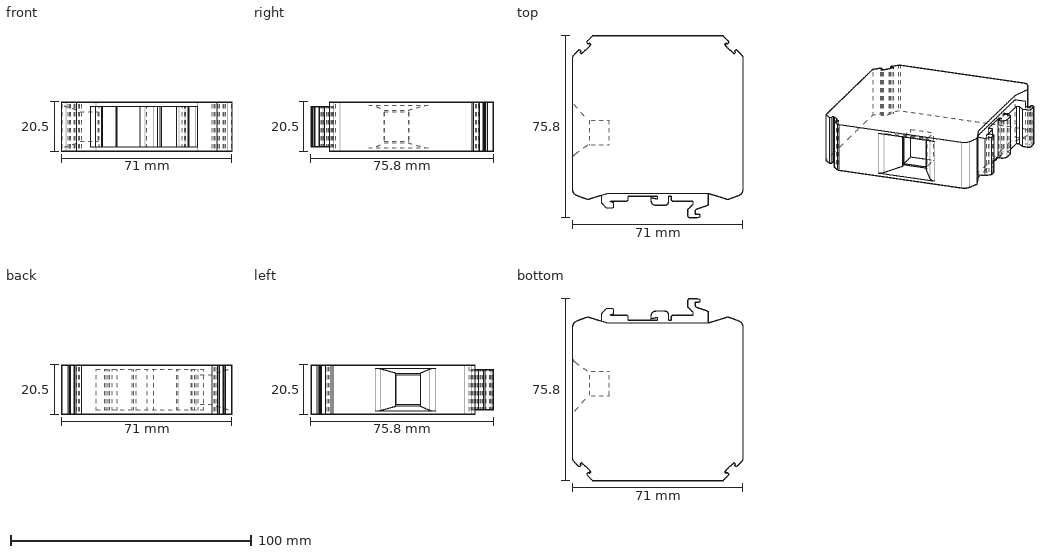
import cadquery as cq
import math

WIDTH = 71.0
LENGTH = 75.8
HEIGHT = 20.5
HALF_WIDTH = WIDTH / 2
TOP_Y = 37.9
CORNER_CUT_X = 27.05
CORNER_CHAMFER_X = 0.3
CORNER_CHAMFER_Y = 0.7
SIDE_TOP_Y = 28.9
LOWER_CORNER_Y = -28.0
LOWER_CORNER_RADIUS = 2.95
SHOULDER_X = 29.2
SHOULDER_Y = -30.3
BASE_X = 21.1
BASE_Y = -27.8

SLOT_CENTER_X = 29.8
SLOT_CENTER_Y = 32.3
SLOT_MOUTH_WIDTH = 4.2
FLOOR_RECESS = 0.19
FLOOR_RECESS_END = 0.7
UNDERCUT_WIDTH = 5.4
UNDERCUT_HEIGHT = 0.7
LIP_TOP = (CORNER_CUT_X + TOP_Y - SLOT_CENTER_X - SLOT_CENTER_Y) / math.sqrt(2)
LIP_RADIUS = 0.57
SLOT_CUTTER_RISE = 0.75

FOOT_HEIGHT = 16.75
FOOT_LEFT_X = -23.5
FOOT_ROOT_Y = BASE_Y + 1.5
GAP_Y = -28.95
RAIL_SEAT_Y = -31.0
FOOT_BOTTOM_Y = TOP_Y - LENGTH
SEAT_BEVEL = 0.5
LEFT_SEAT_END_X = -12.35
RIGHT_SEAT_START_X = 5.5
HOOK_BEVEL_TOP_Y = -31.6
HOOK_BOTTOM_Y = -33.8
HOOK_BOTTOM_LEFT_X = -21.4
HOOK_TIP_X = -18.35
HOOK_TIP_TOP_Y = -31.45
HOOK_TIP_BEVEL = 0.45
HOOK_UNDERCUT_X = -19.8
LATCH_LEFT_X = -2.9
LATCH_RIGHT_X = 4.5
LATCH_BOTTOM_Y = -32.7
LATCH_LEFT_RADIUS = 2.1
LATCH_RIGHT_RADIUS = 1.6
LATCH_SHELF_END_X = -0.15
LATCH_SHELF_END_Y = -30.0
LATCH_SHELF_TIP_Y = -29.5
SPRING_NECK_X = 14.55
SPRING_NECK_Y = -32.3
SPRING_LEFT_X = 12.4
SPRING_LEFT_RADIUS = 1.0
SPRING_SLOPE_X = 15.9
SPRING_SLOPE_RISE = 0.15
SPRING_TIP_X = 17.6
SPRING_TIP_TOP_Y = -36.3
SPRING_TIP_BEVEL_X = 0.5
SPRING_TIP_BEVEL_Y = 0.4
SPRING_SLOT_X = 15.6
SPRING_SLOT_TOP_Y = -34.7
SPRING_SLOT_BEVEL_X = 0.45
SPRING_SLOT_BEVEL_Y = 0.4
SPRING_BROW_X = 20.3
SPRING_BROW_Y = -32.9
FOOT_RIGHT_BOTTOM_Y = -32.4

FUNNEL_MOUTH_TOP_Y = 10.0
FUNNEL_MOUTH_BOTTOM_Y = -12.2
FUNNEL_LIP_RADIUS = 3.2
FUNNEL_TOP_Y = 2.8
FUNNEL_BOTTOM_Y = -7.65
FUNNEL_TAPER_DEPTH = 6.3
FUNNEL_DEPTH = 7.2
FUNNEL_MOUTH_HEIGHT = 17.8
FUNNEL_END_HEIGHT = 13.3
PASSAGE_STEP_Y = 0.15
PASSAGE_HEIGHT = 12.3
PASSAGE_END_DEPTH = 15.15


def upright(outline, height):
    """Extrude a closed XY outline to equal heights above and below Z = 0."""
    return outline.extrude(height / 2, both=True)


def housing():
    right_side = [
        (BASE_X, BASE_Y),
        (SHOULDER_X, SHOULDER_Y),
        (HALF_WIDTH, LOWER_CORNER_Y),
        (HALF_WIDTH, SIDE_TOP_Y),
        (HALF_WIDTH - CORNER_CHAMFER_X, SIDE_TOP_Y + CORNER_CHAMFER_Y),
        (CORNER_CUT_X, TOP_Y),
    ]
    left_side = [(-x, y) for x, y in reversed(right_side)]
    plate = upright(cq.Workplane("XY").polyline(right_side + left_side).close(), HEIGHT)
    for x in (-HALF_WIDTH, HALF_WIDTH):
        corner = cq.selectors.NearestToPointSelector((x, LOWER_CORNER_Y, 0))
        plate = plate.edges("|Z").edges(corner).fillet(LOWER_CORNER_RADIUS)
    return plate


def corner_slot():
    """Slot cutter for the +X corner, built pointing along +Y and then turned into place."""
    half_mouth = SLOT_MOUTH_WIDTH / 2
    half_undercut = UNDERCUT_WIDTH / 2
    lip_side_top = LIP_TOP - LIP_RADIUS
    lip_side_bottom = UNDERCUT_HEIGHT + LIP_RADIUS
    outer_x = half_mouth + LIP_RADIUS
    cutter = upright(
        cq.Workplane("XY")
        .moveTo(-half_mouth, -FLOOR_RECESS)
        .lineTo(FLOOR_RECESS_END, -FLOOR_RECESS)
        .lineTo(FLOOR_RECESS_END, 0)
        .lineTo(half_undercut, 0)
        .lineTo(half_undercut, UNDERCUT_HEIGHT)
        .lineTo(outer_x, UNDERCUT_HEIGHT)
        .radiusArc((half_mouth, lip_side_bottom), LIP_RADIUS)
        .lineTo(half_mouth, lip_side_top)
        .radiusArc((outer_x, LIP_TOP), LIP_RADIUS)
        .lineTo(outer_x, LIP_TOP + SLOT_CUTTER_RISE)
        .lineTo(-outer_x, LIP_TOP + SLOT_CUTTER_RISE)
        .lineTo(-outer_x, LIP_TOP)
        .radiusArc((-half_mouth, lip_side_top), LIP_RADIUS)
        .lineTo(-half_mouth, lip_side_bottom)
        .radiusArc((-outer_x, UNDERCUT_HEIGHT), LIP_RADIUS)
        .lineTo(-half_undercut, UNDERCUT_HEIGHT)
        .lineTo(-half_undercut, 0)
        .lineTo(-half_mouth, 0)
        .close(),
        HEIGHT,
    )
    turned = cutter.rotate((0, 0, 0), (0, 0, 1), -45)
    return turned.translate((SLOT_CENTER_X, SLOT_CENTER_Y, 0))


def rail_foot():
    hook_and_left_seat = [
        (FOOT_LEFT_X, HOOK_BEVEL_TOP_Y),
        (HOOK_BOTTOM_LEFT_X, HOOK_BOTTOM_Y),
        (HOOK_TIP_X - HOOK_TIP_BEVEL, HOOK_BOTTOM_Y),
        (HOOK_TIP_X, HOOK_BOTTOM_Y + HOOK_TIP_BEVEL),
        (HOOK_TIP_X, HOOK_TIP_TOP_Y),
        (HOOK_UNDERCUT_X, RAIL_SEAT_Y),
        (LEFT_SEAT_END_X - SEAT_BEVEL, RAIL_SEAT_Y),
        (LEFT_SEAT_END_X, RAIL_SEAT_Y + SEAT_BEVEL),
        (LEFT_SEAT_END_X, GAP_Y),
    ]
    latch_notch = [
        (LATCH_SHELF_END_X, GAP_Y),
        (LATCH_SHELF_END_X, LATCH_SHELF_END_Y),
        (LATCH_LEFT_X, LATCH_SHELF_TIP_Y),
        (LATCH_LEFT_X, LATCH_BOTTOM_Y + LATCH_LEFT_RADIUS),
    ]
    right_seat = [
        (LATCH_RIGHT_X, GAP_Y),
        (RIGHT_SEAT_START_X, GAP_Y),
        (RIGHT_SEAT_START_X, RAIL_SEAT_Y + SEAT_BEVEL),
        (RIGHT_SEAT_START_X + SEAT_BEVEL, RAIL_SEAT_Y),
        (SPRING_NECK_X, RAIL_SEAT_Y),
    ]
    spring_left_top_y = SPRING_NECK_Y - (SPRING_NECK_X - SPRING_LEFT_X)
    spring_left = [
        (SPRING_NECK_X, SPRING_NECK_Y),
        (SPRING_LEFT_X, spring_left_top_y),
        (SPRING_LEFT_X, FOOT_BOTTOM_Y + SPRING_LEFT_RADIUS),
    ]
    spring_right = [
        (SPRING_SLOPE_X, FOOT_BOTTOM_Y),
        (SPRING_TIP_X - SPRING_TIP_BEVEL_X, FOOT_BOTTOM_Y + SPRING_SLOPE_RISE),
        (SPRING_TIP_X, FOOT_BOTTOM_Y + SPRING_SLOPE_RISE + SPRING_TIP_BEVEL_Y),
        (SPRING_TIP_X, SPRING_TIP_TOP_Y - SPRING_TIP_BEVEL_Y),
        (SPRING_TIP_X - SPRING_TIP_BEVEL_X, SPRING_TIP_TOP_Y),
        (SPRING_SLOT_X, SPRING_TIP_TOP_Y),
        (SPRING_SLOT_X, SPRING_SLOT_TOP_Y),
        (SPRING_SLOT_X + SPRING_SLOT_BEVEL_X, SPRING_SLOT_TOP_Y + SPRING_SLOT_BEVEL_Y),
        (SPRING_BROW_X, SPRING_BROW_Y),
        (BASE_X, FOOT_RIGHT_BOTTOM_Y),
        (BASE_X, FOOT_ROOT_Y),
    ]
    return upright(
        cq.Workplane("XY")
        .moveTo(FOOT_LEFT_X, FOOT_ROOT_Y)
        .polyline(hook_and_left_seat + latch_notch, includeCurrent=True)
        .radiusArc((LATCH_LEFT_X + LATCH_LEFT_RADIUS, LATCH_BOTTOM_Y), -LATCH_LEFT_RADIUS)
        .lineTo(LATCH_RIGHT_X - LATCH_RIGHT_RADIUS, LATCH_BOTTOM_Y)
        .radiusArc((LATCH_RIGHT_X, LATCH_BOTTOM_Y + LATCH_RIGHT_RADIUS), -LATCH_RIGHT_RADIUS)
        .polyline(right_seat + spring_left, includeCurrent=True)
        .radiusArc((SPRING_LEFT_X + SPRING_LEFT_RADIUS, FOOT_BOTTOM_Y), -SPRING_LEFT_RADIUS)
        .polyline(spring_right, includeCurrent=True)
        .close(),
        FOOT_HEIGHT,
    )


def mouth_rounding(mouth_y, end_y):
    """Start, middle and end of the arc from the side face into a sloping funnel wall.

    Points are (depth, y), with the depth measured inwards from the side face.
    """
    turn = math.atan2(FUNNEL_TAPER_DEPTH, abs(end_y - mouth_y))
    outward = math.copysign(1, mouth_y - end_y)
    start_y = mouth_y + outward * FUNNEL_LIP_RADIUS * math.tan(turn / 2)

    def on_arc(angle):
        depth = FUNNEL_LIP_RADIUS * (1 - math.cos(angle))
        return depth, start_y - outward * FUNNEL_LIP_RADIUS * math.sin(angle)

    return on_arc(0), on_arc(turn / 2), on_arc(turn)


def cable_funnel():
    """Cutter for the funnel and the passage, with the side face at X = 0."""
    top_start, top_mid, top_end = mouth_rounding(FUNNEL_MOUTH_TOP_Y, FUNNEL_TOP_Y)
    bottom_start, bottom_mid, bottom_end = mouth_rounding(FUNNEL_MOUTH_BOTTOM_Y, FUNNEL_BOTTOM_Y)
    plan = upright(
        cq.Workplane("XY")
        .moveTo(*top_start)
        .threePointArc(top_mid, top_end)
        .lineTo(FUNNEL_TAPER_DEPTH, FUNNEL_TOP_Y)
        .lineTo(FUNNEL_DEPTH, FUNNEL_TOP_Y)
        .lineTo(FUNNEL_DEPTH, FUNNEL_BOTTOM_Y)
        .lineTo(FUNNEL_TAPER_DEPTH, FUNNEL_BOTTOM_Y)
        .lineTo(*bottom_end)
        .threePointArc(bottom_mid, bottom_start)
        .close(),
        HEIGHT,
    )
    taper = (
        cq.Workplane("XZ")
        .polyline(
            [
                (0, -FUNNEL_MOUTH_HEIGHT / 2),
                (FUNNEL_DEPTH, -FUNNEL_END_HEIGHT / 2),
                (FUNNEL_DEPTH, FUNNEL_END_HEIGHT / 2),
                (0, FUNNEL_MOUTH_HEIGHT / 2),
            ]
        )
        .close()
        .extrude(HALF_WIDTH, both=True)
    )
    passage = upright(
        cq.Workplane("XY")
        .moveTo(FUNNEL_TAPER_DEPTH, FUNNEL_BOTTOM_Y + PASSAGE_STEP_Y)
        .lineTo(PASSAGE_END_DEPTH, FUNNEL_BOTTOM_Y + PASSAGE_STEP_Y)
        .lineTo(PASSAGE_END_DEPTH, FUNNEL_TOP_Y - PASSAGE_STEP_Y)
        .lineTo(FUNNEL_TAPER_DEPTH, FUNNEL_TOP_Y - PASSAGE_STEP_Y)
        .close(),
        PASSAGE_HEIGHT,
    )
    return plan.intersect(taper).union(passage)


slot = corner_slot()
result = (
    housing()
    .union(rail_foot())
    .cut(slot)
    .cut(slot.mirror("YZ"))
    .cut(cable_funnel().translate((-HALF_WIDTH, 0, 0)))
)